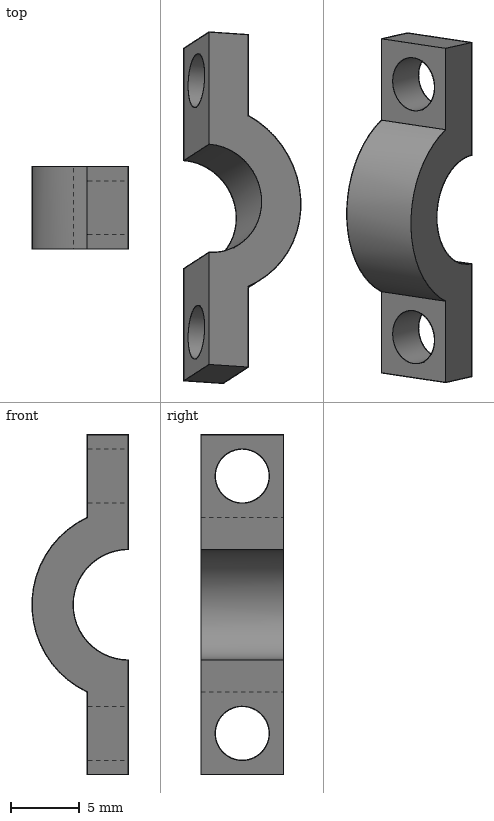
import cadquery as cq
import math

bore_radius = 4.0
wall_thickness = 3.0
clamp_width = 6.0
ear_length = 6.0
screw_hole_diameter = 3.9

outer_radius = bore_radius + wall_thickness
ear_root_height = math.sqrt(outer_radius**2 - wall_thickness**2)
half_height = ear_root_height + ear_length
screw_hole_height = ear_root_height + ear_length / 2


def make_clamp_body():
    """Half-ring saddle with a flat ear at each end; the bore axis is Y, the mating face is X = 0."""
    return (
        cq.Workplane("XZ")
        .moveTo(0, bore_radius)
        .lineTo(0, half_height)
        .lineTo(-wall_thickness, half_height)
        .lineTo(-wall_thickness, ear_root_height)
        .threePointArc((-outer_radius, 0), (-wall_thickness, -ear_root_height))
        .lineTo(-wall_thickness, -half_height)
        .lineTo(0, -half_height)
        .lineTo(0, -bore_radius)
        .threePointArc((-bore_radius, 0), (0, bore_radius))
        .close()
        .extrude(clamp_width / 2, both=True)
    )


def make_screw_holes():
    """Cylinders along X that pass through the middle of each ear."""
    return (
        cq.Workplane("YZ")
        .pushPoints([(0, screw_hole_height), (0, -screw_hole_height)])
        .circle(screw_hole_diameter / 2)
        .extrude(-wall_thickness)
    )


result = make_clamp_body().cut(make_screw_holes())